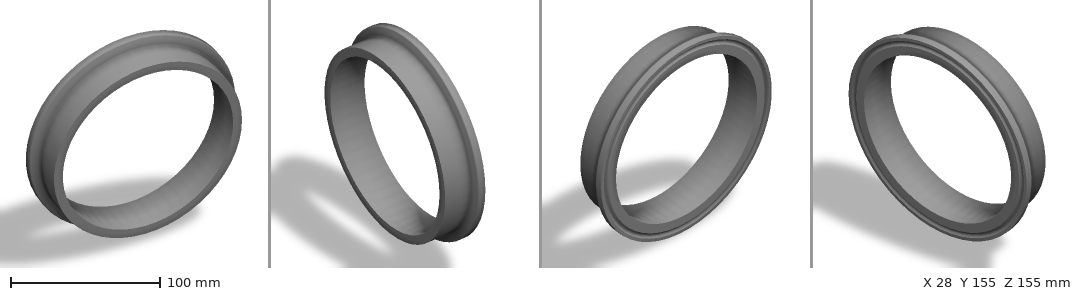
import cadquery as cq
import math

length = 28.0
flange_radius = 155 / 2
tube_radius = 70.7
bore_radius = 64.0

rim_width = 4.8
rim_fillet = 1.0
root_fillet = 1.9
taper = math.radians(20)

groove_centre_radius = 73.0
groove_round = 1.4
groove_half_width = 2.0


def arc_point(centre, radius, angle):
    """Point on a circle, as (axial, radial), with the angle measured from +X."""
    return (
        centre[0] + radius * math.cos(angle),
        centre[1] + radius * math.sin(angle),
    )


def revolve_about_x(profile):
    return profile.close().revolve(360, (0, 0, 0), (1, 0, 0))


def make_ferrule():
    rim_centre = (rim_width, flange_radius - rim_fillet)
    rim_end = arc_point(rim_centre, rim_fillet, taper)
    rim_mid = arc_point(rim_centre, rim_fillet, (math.pi / 2 + taper) / 2)

    root_height = tube_radius + root_fillet
    taper_end_radius = root_height - root_fillet * math.sin(taper)
    taper_end_x = rim_end[0] + (rim_end[1] - taper_end_radius) * math.tan(taper)
    root_centre = (taper_end_x + root_fillet * math.cos(taper), root_height)
    root_mid_angle = math.pi + (math.pi / 2 + taper) / 2
    root_mid = arc_point(root_centre, root_fillet, root_mid_angle)

    profile = (
        cq.Workplane("XY")
        .moveTo(0, bore_radius)
        .lineTo(0, flange_radius)
        .lineTo(rim_width, flange_radius)
        .threePointArc(rim_mid, rim_end)
        .lineTo(taper_end_x, taper_end_radius)
        .threePointArc(root_mid, (root_centre[0], tube_radius))
        .lineTo(length, tube_radius)
        .lineTo(length, bore_radius)
    )
    return revolve_about_x(profile)


def make_groove():
    centre = (0, groove_centre_radius)
    wall_angle = math.asin(groove_round / groove_half_width)
    profile = (
        cq.Workplane("XY")
        .moveTo(0, groove_centre_radius - groove_half_width)
        .lineTo(*arc_point(centre, groove_round, -wall_angle))
        .threePointArc(
            arc_point(centre, groove_round, 0),
            arc_point(centre, groove_round, wall_angle),
        )
        .lineTo(0, groove_centre_radius + groove_half_width)
    )
    return revolve_about_x(profile)


result = make_ferrule().cut(make_groove())